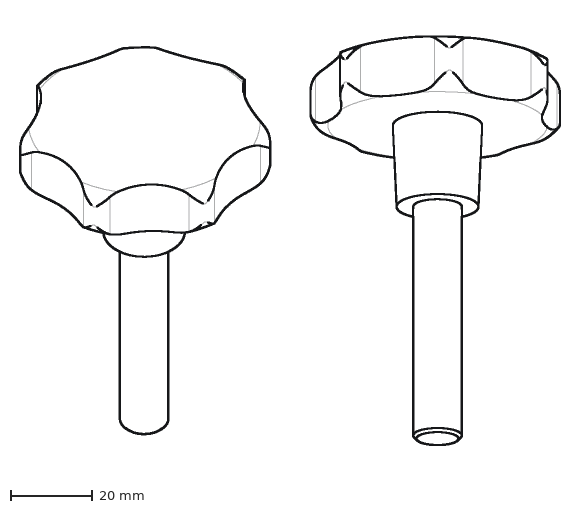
import cadquery as cq
import math

total_height = 100.0
shaft_length = 60.0
head_height = 19.0
head_bottom = total_height - head_height

shaft_radius = 6.0
shaft_chamfer = 0.8
hub_bottom_radius = 10.1
hub_top_radius = 11.0

lobe_count = 7
head_radius = 31.5
dome_radius = 81.0
rim_fillet = 4.5
lobe_radius = 4.5
lobe_clearance = 0.01
lobe_tip_radius = head_radius - lobe_clearance
waist_radius = 26.1

lobe_pitch = 2 * math.pi / lobe_count
first_lobe_angle = -math.pi / 2


def polar(radius, angle):
    return (radius * math.cos(angle), radius * math.sin(angle))


def make_stem():
    """Shaft with a chamfered tip, widening into the tapered hub."""
    return (
        cq.Workplane("XZ")
        .lineTo(shaft_radius - shaft_chamfer, 0)
        .lineTo(shaft_radius, shaft_chamfer)
        .lineTo(shaft_radius, shaft_length)
        .lineTo(hub_bottom_radius, shaft_length)
        .lineTo(hub_top_radius, head_bottom)
        .lineTo(0, head_bottom)
        .close()
        .revolve()
    )


def dome_height(radius):
    """Z of the spherical dome at a given distance from the axis."""
    return total_height - dome_radius + math.sqrt(dome_radius**2 - radius**2)


def make_domed_disc():
    """Round disc with a spherical top and both rim edges rounded."""
    middle_radius = head_radius / 2
    disc = (
        cq.Workplane("XZ")
        .moveTo(0, head_bottom)
        .lineTo(head_radius, head_bottom)
        .lineTo(head_radius, dome_height(head_radius))
        .threePointArc((middle_radius, dome_height(middle_radius)), (0, total_height))
        .close()
        .revolve()
    )
    return disc.edges("%CIRCLE").fillet(rim_fillet)


def make_lobed_prism():
    """Straight prism whose outline alternates lobe arcs and tangent scallop arcs."""
    lobe_center = lobe_tip_radius - lobe_radius
    half_pitch = lobe_pitch / 2

    waist_gap = waist_radius - lobe_radius
    lobe_reach = lobe_center * math.cos(half_pitch)
    scallop_center = (lobe_center**2 - waist_gap**2) / (2 * (lobe_reach - waist_gap))
    scallop_radius = scallop_center - waist_radius

    center_distance = scallop_radius + lobe_radius
    fraction = lobe_radius / center_distance
    along = lobe_center + fraction * (scallop_center * math.cos(half_pitch) - lobe_center)
    across = fraction * scallop_center * math.sin(half_pitch)
    tangent_radius = math.hypot(along, across)
    tangent_angle = math.atan2(across, along)

    outline = cq.Workplane("XY", origin=(0, 0, head_bottom))
    outline = outline.moveTo(*polar(tangent_radius, first_lobe_angle - tangent_angle))
    for index in range(lobe_count):
        angle = first_lobe_angle + index * lobe_pitch
        lobe_end = polar(tangent_radius, angle + tangent_angle)
        next_lobe_start = polar(tangent_radius, angle + lobe_pitch - tangent_angle)
        outline = outline.threePointArc(polar(lobe_tip_radius, angle), lobe_end)
        outline = outline.threePointArc(polar(waist_radius, angle + half_pitch), next_lobe_start)
    return outline.close().extrude(head_height)


head = make_domed_disc().intersect(make_lobed_prism())
result = make_stem().union(head)